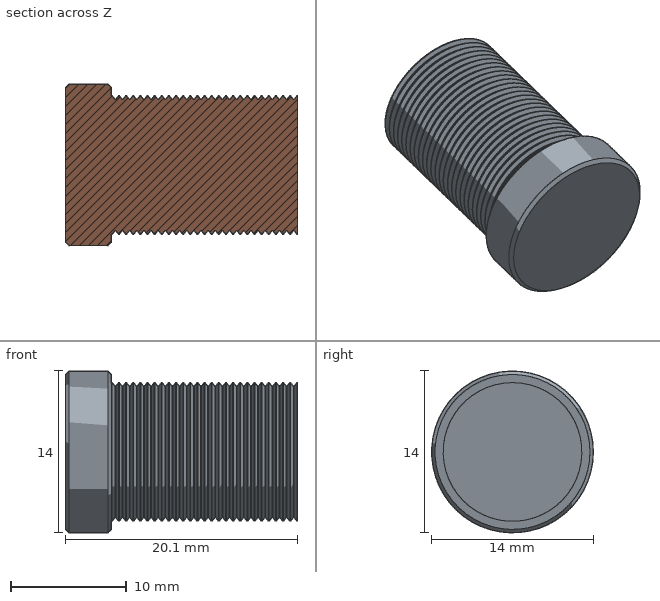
import cadquery as cq

total_length = 20.1
head_length = 3.98
head_diameter = 14.0
head_chamfer = 0.3
shank_diameter = 12.0

groove_count = 26
groove_depth = 0.3
crest_width = 0.07
root_width = crest_width

shank_radius = shank_diameter / 2
root_radius = shank_radius - groove_depth
shank_length = total_length - head_length
groove_pitch = (shank_length - crest_width) / groove_count
groove_width = groove_pitch - crest_width
flank_length = (groove_width - root_width) / 2


def make_head():
    """Round head with both rims chamfered."""
    head = cq.Workplane("YZ").circle(head_diameter / 2).extrude(head_length)
    return head.edges().chamfer(head_chamfer)


def make_grooved_shank():
    """Shank turned from a half outline that dips into each groove in turn."""
    outline = cq.Workplane("XZ").moveTo(head_length, 0).lineTo(head_length, shank_radius)
    for index in range(groove_count):
        groove_start = head_length + crest_width + index * groove_pitch
        groove_end = groove_start + groove_width
        outline = (
            outline.lineTo(groove_start, shank_radius)
            .lineTo(groove_start + flank_length, root_radius)
            .lineTo(groove_end - flank_length, root_radius)
            .lineTo(groove_end, shank_radius)
        )
    outline = outline.lineTo(total_length, shank_radius).lineTo(total_length, 0).close()
    return outline.revolve(360, (0, 0, 0), (1, 0, 0))


result = make_head().union(make_grooved_shank())